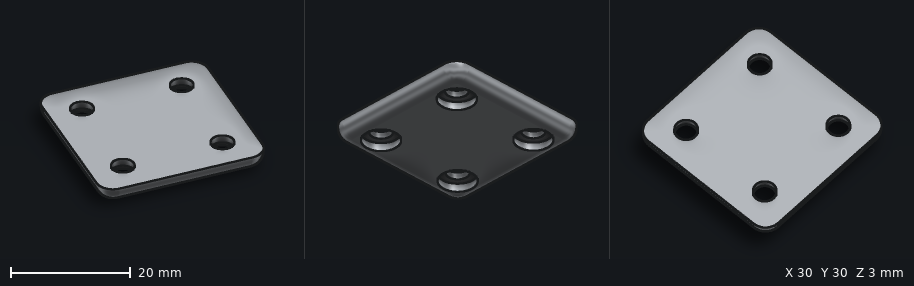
import cadquery as cq

side = 30.0
thickness = 3.0
corner_radius = 3.0
bottom_edge_radius = 2.5

hole_diameter = 4.0
hole_spacing = 18.0
counterbore_diameter = 6.72
counterbore_depth = 1.6

plate = (
    cq.Workplane("XY")
    .rect(side, side)
    .extrude(thickness)
    .edges("|Z")
    .fillet(corner_radius)
    .faces("<Z")
    .edges()
    .fillet(bottom_edge_radius)
)

result = (
    plate.faces("<Z")
    .workplane()
    .rect(hole_spacing, hole_spacing, forConstruction=True)
    .vertices()
    .cboreHole(hole_diameter, counterbore_diameter, counterbore_depth)
)